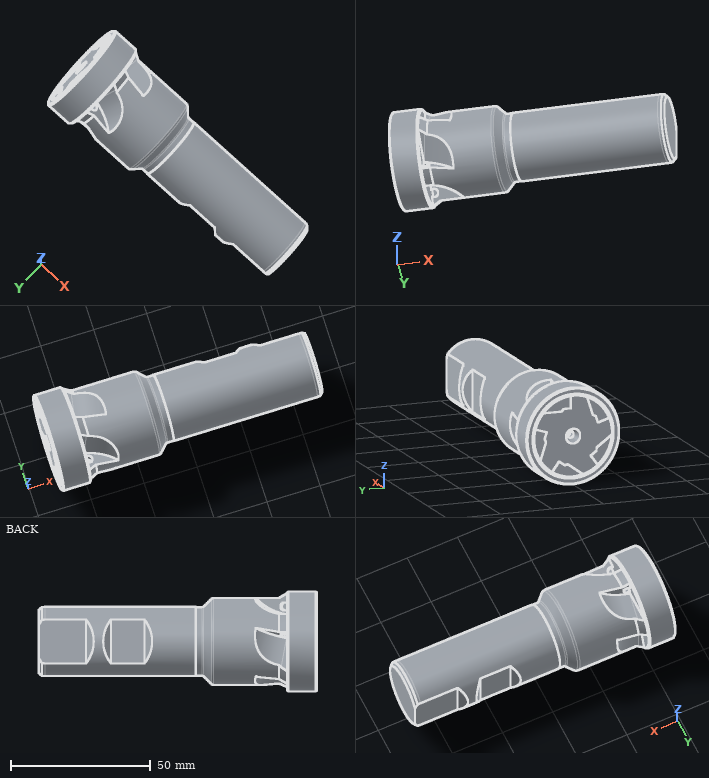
import cadquery as cq
import math

disc_radius = 18.0
disc_length = 10.7
disc_front_chamfer = 0.4
disc_back_chamfer = 0.5

body_radius = 15.7
cone_start_radius = 17.4
cone_end_x = 13.6
shoulder_start_x = 37.6
shoulder_top_fillet = 1.2
shoulder_bottom_fillet = 0.8
neck_radius = 12.4
neck_end_x = 43.5
shank_radius = 12.5
total_length = 100.0
end_chamfer = 1.1
end_taper_length = 1.2

flat_y = 9.7
flat_cut_depth = shank_radius - flat_y
clamp_flat_start_x = 62.0
clamp_flat_end_x = 74.0
rear_flat_start_x = 83.0

gullet_count = 5
gullet_rake = 10.0
gullet_wall_offset = 3.8
gullet_floor_radius = 9.8
gullet_arc_start = 10.4
gullet_arc_middle = (17.2, 12.1)
gullet_arc_end = (21.8, 15.9)

screw_diameter = 3.0
screw_depth = 2.5
screw_along = 11.1
screw_radial = 12.6

groove_outer_radius = 15.7
groove_inner_radius = 15.0
groove_depth = 0.4
pocket_depth = 0.2
pocket_wall_y = 0.9
pocket_step_start_y = 3.6
pocket_step_end_y = 4.4
pocket_floor_z = 9.5
pocket_step_z = 10.4

centre_mouth_diameter = 5.5
centre_hole_diameter = 2.5
centre_hole_depth = 6.0
countersink_angle = 60.0
drill_point_angle = 118.0

overcut = 10.0
selection_margin = 0.1


def revolve_about_x(outline):
    """Revolve a closed outline of (x, radius) points about the X axis."""
    return cq.Workplane("XY").polyline(outline).close().revolve(360, (0, 0, 0), (1, 0, 0))


def repeat_about_x(shape):
    """Place one copy of a shape for each gullet and join the copies."""
    pitch = 360 / gullet_count
    copies = shape
    for index in range(1, gullet_count):
        copies = copies.union(shape.rotate((0, 0, 0), (1, 0, 0), index * pitch))
    return copies


def make_body():
    """Round body with front cone, 45 degree shoulder, neck and shank."""
    shoulder_end_x = shoulder_start_x + body_radius - neck_radius
    chamfer_x = total_length - end_chamfer
    outline = (
        cq.Workplane("XY")
        .moveTo(0, 0)
        .lineTo(0, groove_inner_radius)
        .lineTo(disc_length, groove_inner_radius)
        .lineTo(disc_length, cone_start_radius)
        .lineTo(cone_end_x, body_radius)
        .lineTo(shoulder_start_x, body_radius)
        .lineTo(shoulder_end_x, neck_radius)
        .lineTo(neck_end_x, neck_radius)
        .lineTo(neck_end_x + shank_radius - neck_radius, shank_radius)
        .lineTo(chamfer_x - end_taper_length, shank_radius)
        .lineTo(chamfer_x, neck_radius)
        .lineTo(total_length, neck_radius - end_chamfer)
        .lineTo(total_length, 0)
        .close()
    )
    body = outline.revolve(360, (0, 0, 0), (1, 0, 0))
    for x, fillet in ((shoulder_start_x, shoulder_top_fillet), (shoulder_end_x, shoulder_bottom_fillet)):
        rim = cq.selectors.BoxSelector(
            (x - selection_margin, -disc_radius, -disc_radius),
            (x + selection_margin, disc_radius, disc_radius),
            boundingbox=True,
        )
        body = body.edges(rim).fillet(fillet)
    return body


def make_flats():
    """Cutters for the two clamping flats, with 45 degree end ramps."""
    rise = flat_cut_depth + overcut
    clamp_flat = [
        (clamp_flat_start_x, flat_y),
        (clamp_flat_end_x, flat_y),
        (clamp_flat_end_x + rise, flat_y + rise),
        (clamp_flat_start_x - rise, flat_y + rise),
    ]
    rear_flat = [
        (rear_flat_start_x, flat_y),
        (total_length + overcut, flat_y),
        (total_length + overcut, flat_y + rise),
        (rear_flat_start_x - rise, flat_y + rise),
    ]
    cutters = cq.Workplane("XY")
    for outline in (clamp_flat, rear_flat):
        cutters = cutters.union(cq.Workplane("XY").polyline(outline).close().extrude(shank_radius, both=True))
    return cutters


def make_gullet():
    """Gullet cutter: a raked wall facing +Y and a floor that curves outwards, with a screw hole."""
    rake = math.radians(gullet_rake)
    wall_plane = cq.Plane(
        origin=(0, 0, 0),
        xDir=(math.cos(rake), -math.sin(rake), 0),
        normal=(-math.sin(rake), -math.cos(rake), 0),
    )
    wall = cq.Workplane(wall_plane).workplane(offset=-gullet_wall_offset)
    top = disc_radius + overcut
    gullet = (
        wall.moveTo(0, gullet_floor_radius)
        .lineTo(gullet_arc_start, gullet_floor_radius)
        .threePointArc(gullet_arc_middle, gullet_arc_end)
        .lineTo(gullet_arc_end[0], top)
        .lineTo(0, top)
        .close()
        .extrude(-disc_radius)
    )
    hole = wall.center(screw_along, screw_radial).circle(screw_diameter / 2).extrude(screw_depth)
    return gullet.union(hole)


def make_disc():
    """Solid cutting disc with chamfered rims."""
    return revolve_about_x([
        (0, 0),
        (0, disc_radius - disc_front_chamfer),
        (disc_front_chamfer, disc_radius),
        (disc_length - disc_back_chamfer, disc_radius),
        (disc_length, disc_radius - disc_back_chamfer),
        (disc_length, 0),
    ])


def make_face_groove():
    """Shallow V groove ring in the front face."""
    groove_middle_radius = (groove_outer_radius + groove_inner_radius) / 2
    return revolve_about_x([
        (0, groove_inner_radius),
        (groove_depth, groove_middle_radius),
        (0, groove_outer_radius),
    ])


def make_face_pocket():
    """Shallow stepped recess in the front face, bounded by the groove."""
    outline = [
        (pocket_wall_y, disc_radius),
        (pocket_wall_y, pocket_step_z),
        (pocket_step_start_y, pocket_step_z),
        (pocket_step_end_y, pocket_floor_z),
        (disc_radius, pocket_floor_z),
        (disc_radius, disc_radius),
    ]
    recess = cq.Workplane("YZ").polyline(outline).close().extrude(pocket_depth)
    face_limit = cq.Workplane("YZ").circle(groove_inner_radius).extrude(pocket_depth)
    return recess.intersect(face_limit)


def make_centre_hole():
    """Countersunk blind centre hole with a drill point."""
    mouth_radius = centre_mouth_diameter / 2
    hole_radius = centre_hole_diameter / 2
    countersink_depth = (mouth_radius - hole_radius) / math.tan(math.radians(countersink_angle / 2))
    point_length = hole_radius / math.tan(math.radians(drill_point_angle / 2))
    return revolve_about_x([
        (0, 0),
        (0, mouth_radius),
        (countersink_depth, hole_radius),
        (centre_hole_depth, hole_radius),
        (centre_hole_depth + point_length, 0),
    ])


result = (
    make_body()
    .cut(make_flats())
    .cut(repeat_about_x(make_gullet()))
    .union(make_disc())
    .cut(make_face_groove())
    .cut(repeat_about_x(make_face_pocket()))
    .cut(make_centre_hole())
)